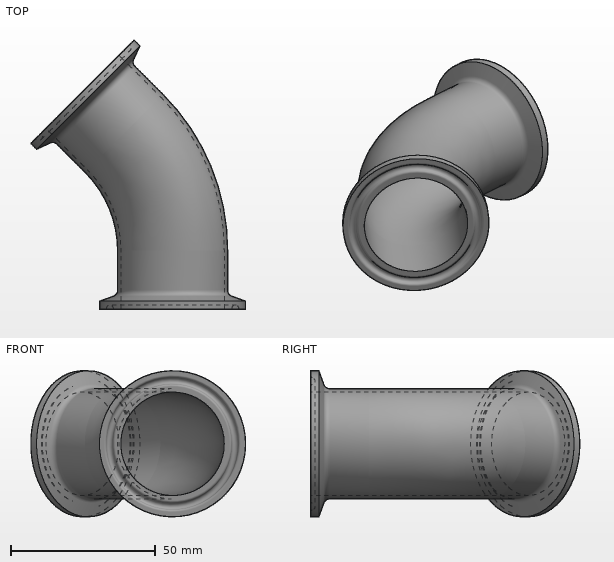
import cadquery as cq
import math

overall_length = 93.0
bend_angle = 45.0
bend_radius = 57.2
tube_radius = 38.1 / 2
bore_radius = 35.7 / 2

flange_radius = 50.5 / 2
rim_thickness = 2.9
back_taper = 20.0
neck_fillet = 2.0

groove_center_radius = 21.7
groove_half_width = 1.95
groove_depth = 1.6
lip_radius = 0.8

bend_rad = math.radians(bend_angle)
end_length = (overall_length - (bend_radius + flange_radius) * math.sin(bend_rad)) / (1 + math.cos(bend_rad))


def ferrule_body():
    """Solid straight end, with its end face at Y = 0 and its axis along +Y."""
    taper_height = (flange_radius - tube_radius) * math.tan(math.radians(back_taper))
    neck_y = rim_thickness + taper_height
    blend_angle = math.radians(90 - back_taper)
    tangent_length = neck_fillet * math.tan(blend_angle / 2)
    cone_end = (
        tube_radius + tangent_length * math.cos(math.radians(back_taper)),
        neck_y - tangent_length * math.sin(math.radians(back_taper)),
    )
    tube_start = (tube_radius, neck_y + tangent_length)
    fillet_center = (tube_radius + neck_fillet, neck_y + tangent_length)
    mid_angle = math.pi + blend_angle / 2
    fillet_middle = (
        fillet_center[0] + neck_fillet * math.cos(mid_angle),
        fillet_center[1] + neck_fillet * math.sin(mid_angle),
    )
    profile = (
        cq.Workplane("XY")
        .lineTo(flange_radius, 0)
        .lineTo(flange_radius, rim_thickness)
        .lineTo(*cone_end)
        .threePointArc(fillet_middle, tube_start)
        .lineTo(tube_radius, end_length)
        .lineTo(0, end_length)
        .close()
    )
    return profile.revolve(360, (0, 0, 0), (0, 1, 0))


def gasket_groove():
    """Ring cut from the end face: a concave arc tangent to two convex lip arcs."""
    tangent_angle = 2 * math.atan(groove_depth / groove_half_width)
    bottom_radius = groove_half_width / math.sin(tangent_angle) - lip_radius
    blend_offset = bottom_radius * math.sin(tangent_angle)
    blend_y = lip_radius * (1 - math.cos(tangent_angle))
    lip_mid_offset = groove_half_width - lip_radius * math.sin(tangent_angle / 2)
    lip_mid_y = lip_radius * (1 - math.cos(tangent_angle / 2))

    def at(offset, y):
        return (groove_center_radius + offset, y)

    profile = (
        cq.Workplane("XY")
        .moveTo(*at(-groove_half_width, 0))
        .threePointArc(at(-lip_mid_offset, lip_mid_y), at(-blend_offset, blend_y))
        .threePointArc(at(0, groove_depth), at(blend_offset, blend_y))
        .threePointArc(at(lip_mid_offset, lip_mid_y), at(groove_half_width, 0))
        .close()
    )
    return profile.revolve(360, (0, 0, 0), (0, 1, 0))


def bore():
    return cq.Workplane("XZ").circle(bore_radius).extrude(-end_length)


def curved_tube():
    """Hollow bend that turns toward -X about a vertical axis."""
    return (
        cq.Workplane("XZ", origin=(0, end_length, 0))
        .circle(tube_radius)
        .circle(bore_radius)
        .revolve(bend_angle, (-bend_radius, 0, 0), (-bend_radius, 1, 0))
    )


lower_end = ferrule_body().cut(gasket_groove()).cut(bore())

bend_center = (-bend_radius, end_length, 0)
half_bend = bend_rad / 2
mid_plane = cq.Plane(
    origin=bend_center,
    xDir=(math.cos(half_bend), math.sin(half_bend), 0),
    normal=(-math.sin(half_bend), math.cos(half_bend), 0),
)
far_end = lower_end.mirror(mid_plane.zDir.toTuple(), bend_center)

result = lower_end.union(curved_tube()).union(far_end)